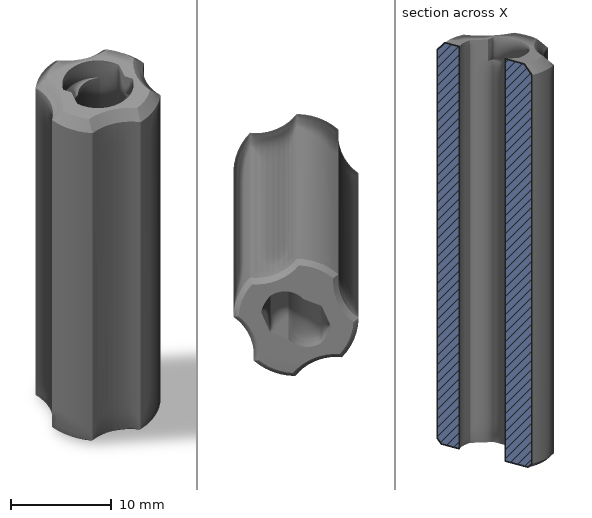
import cadquery as cq
import math

length = 42.5
body_diameter = 12.45
flute_radius = 5.0
flute_axis_distance = 2 * flute_radius
flute_count = 4
first_flute_angle = 45
top_chamfer = 0.98
bottom_chamfer = 0.5

seat_diameter = 7.1
seat_depth = 2.3
lobe_radius = 2.5
lobe_offset = 1.2
stop_face_distance = 2.25
slant_distance = 2.9

slant_sum = slant_distance * math.sqrt(2)


def slant_meets_circle(radius, center_y):
    """Upper point where the slanted face meets a circle centred on the Y axis."""
    distance = (slant_sum - center_y) / math.sqrt(2)
    half_chord = math.sqrt(radius**2 - distance**2)
    x = (distance - half_chord) / math.sqrt(2)
    return (x, slant_sum - x)


def two_fold_prism(start, corner, slant_end, arc_middle, height):
    """Prism whose outline is stop face, slanted face and arc, repeated after half a turn."""
    outline = cq.Workplane("XY").moveTo(*start)
    for sign in (1, -1):
        outline = outline.lineTo(sign * corner[0], sign * corner[1])
        outline = outline.lineTo(sign * slant_end[0], sign * slant_end[1])
        outline = outline.threePointArc(
            (sign * arc_middle[0], sign * arc_middle[1]),
            (-sign * start[0], -sign * start[1]),
        )
    return outline.close().extrude(height)


def make_body():
    """Fluted cylinder with chamfered ends."""
    flutes = (
        cq.Workplane("XY")
        .polarArray(flute_axis_distance, first_flute_angle, 360, flute_count)
        .circle(flute_radius)
        .extrude(length)
    )
    body = cq.Workplane("XY").circle(body_diameter / 2).extrude(length).cut(flutes)
    body = body.faces(">Z").chamfer(top_chamfer)
    return body.faces("<Z").chamfer(bottom_chamfer)


def make_seat():
    """Round recess in the top end, narrowed by two opposite stops."""
    radius = seat_diameter / 2
    start = (math.sqrt(radius**2 - stop_face_distance**2), stop_face_distance)
    corner = (slant_sum - stop_face_distance, stop_face_distance)
    slant_end = slant_meets_circle(radius, 0)
    seat = two_fold_prism(start, corner, slant_end, (-radius, 0), seat_depth)
    return seat.translate((0, 0, length - seat_depth))


def make_through_bore():
    """Two-lobed full-length opening, kept inside the seat circle."""
    lobe_rise = math.sqrt(lobe_radius**2 - stop_face_distance**2)
    start = (stop_face_distance, lobe_rise - lobe_offset)
    corner = (stop_face_distance, slant_sum - stop_face_distance)
    slant_end = slant_meets_circle(lobe_radius, lobe_offset)
    lobes = two_fold_prism(start, corner, slant_end, (-lobe_radius, lobe_offset), length)
    return lobes.intersect(cq.Workplane("XY").circle(seat_diameter / 2).extrude(length))


result = make_body().cut(make_through_bore()).cut(make_seat())